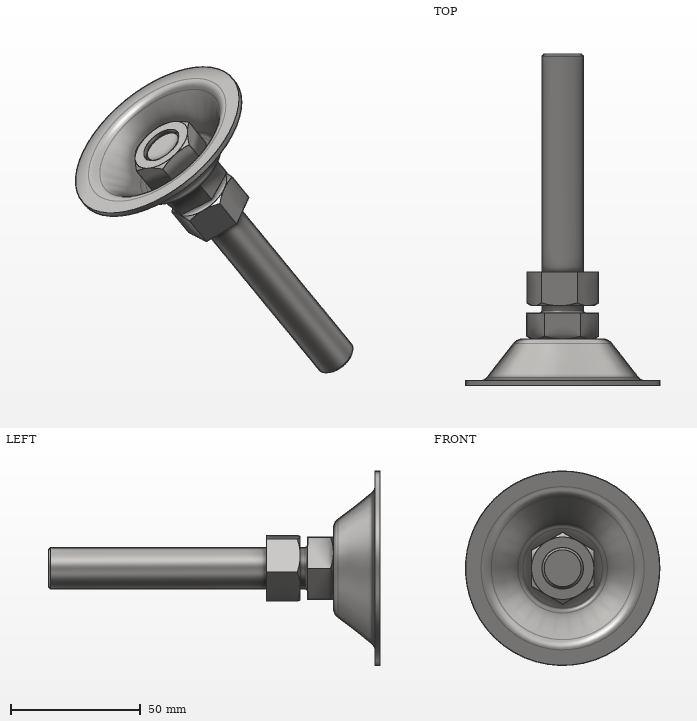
import cadquery as cq
import math


flange_diameter = 75.0
sheet_thickness = 2.0
cup_height = 18.0
crown_flat_radius = 15.4
shoulder_inner_bend = 2.4
rim_flat_radius = 31.5
rim_outer_bend = 5.0

stud_top = 128.0
stud_diameter = 16.0
stud_radius = stud_diameter / 2
stud_end_chamfer = 0.9
stud_base = 4.0
collar_height = 10.0
collar_fillet = 1.0

hex_across_flats = 24.0
hex_across_corners = hex_across_flats / math.cos(math.pi / 6)
hex_chamfer_angle = 30.0
nut_height = 13.0
lock_nut_base = 30.8
lock_nut_turn = 6.0
clamp_nut_turn = 30.0

crown_underside = cup_height - sheet_thickness
clamp_nut_base = crown_underside - nut_height


def disc(radius, base, height):
    """Cylinder along Y that starts at Y = base."""
    return cq.Workplane("XZ", origin=(0, base, 0)).circle(radius).extrude(-height)


def hexagon(base, height, turn):
    """Hexagonal prism along Y with the corners of its lower face chamfered."""
    prism = cq.Workplane("XZ", origin=(0, base, 0)).polygon(6, hex_across_corners).extrude(-height)
    prism = prism.rotate((0, 0, 0), (0, 1, 0), -turn)
    face_radius = hex_across_flats / 2
    slope = math.tan(math.radians(hex_chamfer_angle))
    cone_radius = face_radius + height / slope
    cone = (
        cq.Workplane("XY")
        .polyline([(0, base), (face_radius, base), (cone_radius, base + height), (0, base + height)])
        .close()
        .revolve(360, (0, 0, 0), (0, 1, 0))
    )
    return prism.intersect(cone)


def make_nut(base, turn):
    return hexagon(base, nut_height, turn).cut(disc(stud_radius, base, nut_height))


def make_cup():
    """Sheet of constant thickness: flat crown, conical wall and flat flange, joined by bends."""
    shoulder_outer_bend = shoulder_inner_bend + sheet_thickness
    rim_inner_bend = rim_outer_bend - sheet_thickness
    shoulder_y = cup_height - shoulder_outer_bend
    run = rim_flat_radius - crown_flat_radius
    drop = shoulder_y - rim_outer_bend
    bend_angle = math.atan2(drop, run) + math.asin(
        (shoulder_outer_bend + rim_inner_bend) / math.hypot(run, drop)
    )

    def shoulder(bend, angle):
        return (crown_flat_radius + bend * math.sin(angle), shoulder_y + bend * math.cos(angle))

    def rim(bend, angle):
        return (rim_flat_radius - bend * math.sin(angle), rim_outer_bend - bend * math.cos(angle))

    half = bend_angle / 2
    profile = (
        cq.Workplane("XY")
        .moveTo(stud_radius, cup_height)
        .lineTo(crown_flat_radius, cup_height)
        .threePointArc(shoulder(shoulder_outer_bend, half), shoulder(shoulder_outer_bend, bend_angle))
        .lineTo(*rim(rim_inner_bend, bend_angle))
        .threePointArc(rim(rim_inner_bend, half), rim(rim_inner_bend, 0))
        .lineTo(flange_diameter / 2, sheet_thickness)
        .lineTo(flange_diameter / 2, 0)
        .lineTo(rim_flat_radius, 0)
        .threePointArc(rim(rim_outer_bend, half), rim(rim_outer_bend, bend_angle))
        .lineTo(*shoulder(shoulder_inner_bend, bend_angle))
        .threePointArc(shoulder(shoulder_inner_bend, half), shoulder(shoulder_inner_bend, 0))
        .lineTo(stud_radius, crown_underside)
        .close()
    )
    return profile.revolve(360, (0, 0, 0), (0, 1, 0))


def make_stud():
    """Plain rod with chamfered ends and a hexagonal collar that rests on the cup."""
    rod = disc(stud_radius, stud_base, stud_top - stud_base)
    rod = rod.faces("<Y or >Y").chamfer(stud_end_chamfer)
    collar_top = cup_height + collar_height
    fillet_radius = stud_radius + collar_fillet
    fillet_top = collar_top + collar_fillet
    reach = collar_fillet * (1 - math.sqrt(0.5))
    fillet = (
        cq.Workplane("XY")
        .moveTo(0, collar_top)
        .lineTo(fillet_radius, collar_top)
        .threePointArc((stud_radius + reach, collar_top + reach), (stud_radius, fillet_top))
        .lineTo(0, fillet_top)
        .close()
        .revolve(360, (0, 0, 0), (0, 1, 0))
    )
    return rod.union(hexagon(cup_height, collar_height, 0)).union(fillet)


cup = make_cup()
stud = make_stud()
lock_nut = make_nut(lock_nut_base, lock_nut_turn)
clamp_nut = make_nut(clamp_nut_base, clamp_nut_turn)

result = cq.Compound.makeCompound([cup.val(), stud.val(), lock_nut.val(), clamp_nut.val()])